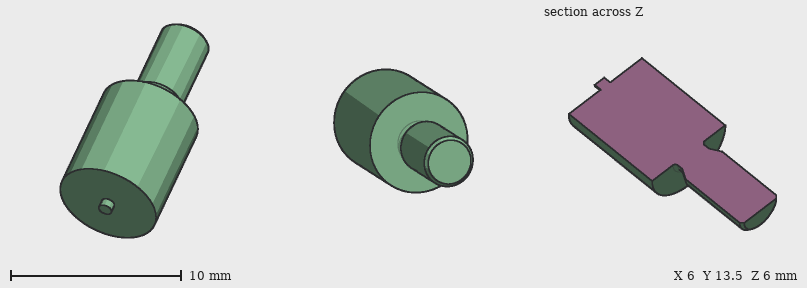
import cadquery as cq
import math

total_length = 13.5
body_diameter = 6.0
shank_diameter = 3.0
neck_diameter = 2.2
pin_diameter = 0.8
pin_length = 0.5
shank_length = 6.0
relief_length = 1.25
taper_angle = 30.0
neck_fillet = 0.2
tip_chamfer = 0.19

pin_end = -total_length / 2
body_front = pin_end + pin_length
tip_end = total_length / 2
shoulder = tip_end - shank_length
taper_end = shoulder + relief_length

body_radius = body_diameter / 2
shank_radius = shank_diameter / 2
neck_radius = neck_diameter / 2
pin_radius = pin_diameter / 2

taper_length = (shank_radius - neck_radius) / math.tan(math.radians(taper_angle))
taper_start = taper_end - taper_length


def circle_at(y, radius):
    """Selector box that encloses only the circular edge at this station."""
    margin = 0.01
    reach = radius + margin
    return cq.selectors.BoxSelector(
        (-reach, y - margin, -reach), (reach, y + margin, reach), boundingbox=True
    )


turned = (
    cq.Workplane("XY")
    .moveTo(0, pin_end)
    .lineTo(pin_radius, pin_end)
    .lineTo(pin_radius, body_front)
    .lineTo(body_radius, body_front)
    .lineTo(body_radius, shoulder)
    .lineTo(neck_radius, shoulder)
    .lineTo(neck_radius, taper_start)
    .lineTo(shank_radius, taper_end)
    .lineTo(shank_radius, tip_end)
    .lineTo(0, tip_end)
    .close()
    .revolve(360, (0, 0, 0), (0, 1, 0))
)

for neck_end in (shoulder, taper_start):
    turned = turned.edges(circle_at(neck_end, neck_radius)).fillet(neck_fillet)

result = turned.edges(circle_at(tip_end, shank_radius)).chamfer(tip_chamfer)